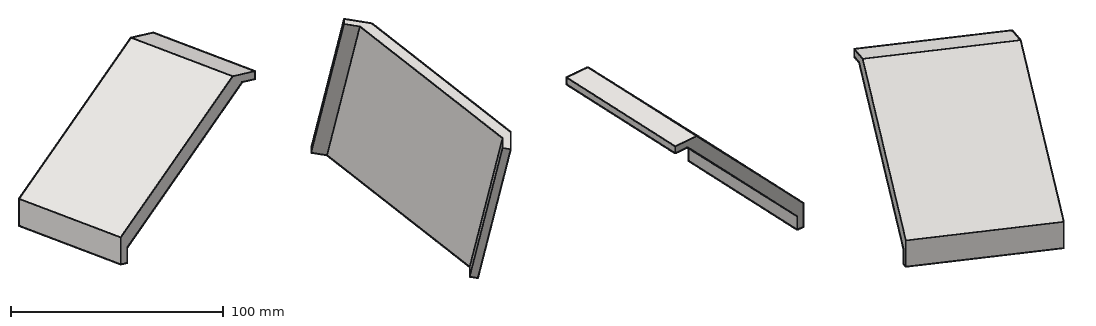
import cadquery as cq

width = 78.0
side = 80.0

lip_thickness = 4.0
outer_lip_length = 13.4
inner_lip_length = 7.6

half_side = side / 2
outer_bend = half_side - outer_lip_length
inner_bend = half_side - inner_lip_length
inner_face = half_side - lip_thickness

profile = [
    (half_side, half_side),
    (outer_bend, half_side),
    (-half_side, -outer_bend),
    (-half_side, -half_side),
    (-inner_face, -half_side),
    (-inner_face, -inner_bend),
    (inner_bend, inner_face),
    (half_side, inner_face),
]

result = cq.Workplane("YZ").polyline(profile).close().extrude(width / 2, both=True)